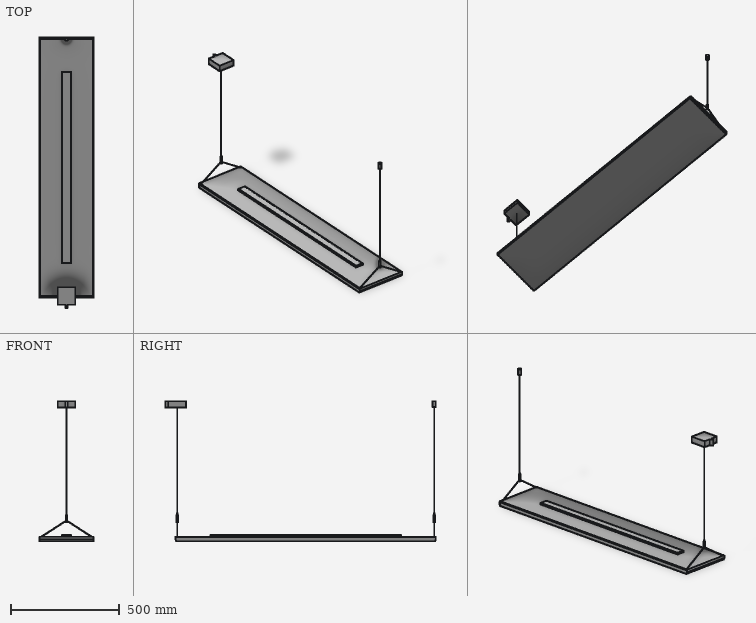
import cadquery as cq
import math

total_length = 1248.0
total_height = 646.0

panel_width = 250.0
panel_length = 1200.0
panel_height = 22.0
panel_back = total_length / 2
panel_front = panel_back - panel_length
panel_middle = (panel_back + panel_front) / 2
end_bevel_height = 9.0
end_bevel_depth = 4.0
side_bevel = 4.0

strip_width = 42.0
strip_length = 881.0
strip_height = 7.0
strip_bevel = 2.0

cap_diameter = 16.0
cap_height = 29.0
cap_chamfer = 2.0

wire_diameter = 1.2
front_inset = 9.0
suspension_back = panel_back - cap_diameter / 2
suspension_front = panel_front + front_inset
clip_diameter = 9.0
clip_bottom = 89.0
clip_height = 32.0
clip_top = clip_bottom + clip_height
clip_tip_diameter = 4.0
clip_tip_height = 7.0
bridle_half_span = 116.0
bridle_top = 96.0
wire_embed = 1.0

canopy_side = 82.0
canopy_height = 30.0
canopy_bottom = total_height - canopy_height
canopy_front = suspension_front - canopy_side / 2
tab_width = 11.0
tab_front = -total_length / 2


def upright_cylinder(diameter, y, bottom, height):
    return cq.Workplane("XY", origin=(0, y, bottom)).circle(diameter / 2).extrude(height)


def make_panel():
    """Panel with bevelled upper long edges and undercut short ends."""
    half_width = panel_width / 2
    body = (
        cq.Workplane("YZ", origin=(-half_width, 0, 0))
        .moveTo(panel_front + end_bevel_depth, 0)
        .lineTo(panel_back - end_bevel_depth, 0)
        .lineTo(panel_back, end_bevel_height)
        .lineTo(panel_back, panel_height)
        .lineTo(panel_front, panel_height)
        .lineTo(panel_front, end_bevel_height)
        .close()
        .extrude(panel_width)
    )
    return body.faces(">Z").edges("|Y").chamfer(side_bevel)


def make_strip():
    strip = cq.Workplane("XY", origin=(0, panel_middle, panel_height)).rect(
        strip_width, strip_length
    ).extrude(strip_height)
    return strip.faces(">Z").chamfer(strip_bevel)


def make_bridle_wire(y, side):
    """Slanted wire from the clip to one side of the panel."""
    foot_z = panel_height - wire_embed
    run = side * bridle_half_span
    drop = foot_z - bridle_top
    direction = cq.Vector(run, 0, drop)
    wire = cq.Solid.makeCylinder(
        wire_diameter / 2, math.hypot(run, drop), cq.Vector(0, y, bridle_top), direction
    )
    return cq.Workplane(wire)


def make_suspension(y, cord_top):
    """Clip with its tip, vertical cord and the two bridle wires."""
    clip = upright_cylinder(clip_diameter, y, clip_bottom, clip_height)
    tip = upright_cylinder(clip_tip_diameter, y, clip_top, clip_tip_height)
    cord = upright_cylinder(wire_diameter, y, clip_top, cord_top - clip_top)
    suspension = clip.union(tip).union(cord)
    for side in (-1, 1):
        suspension = suspension.union(make_bridle_wire(y, side))
    return suspension


def make_cap():
    cap = upright_cylinder(cap_diameter, suspension_back, total_height - cap_height, cap_height)
    return cap.faces("<Z").chamfer(cap_chamfer)


def make_canopy():
    """Square box with a full-height tab on its front face."""
    nose_radius = tab_width / 2
    nose_start = tab_front + nose_radius
    box = cq.Workplane("XY", origin=(0, suspension_front, canopy_bottom)).rect(
        canopy_side, canopy_side
    ).extrude(canopy_height)
    tab = (
        cq.Workplane("XY", origin=(0, 0, canopy_bottom))
        .moveTo(nose_radius, canopy_front)
        .lineTo(nose_radius, nose_start)
        .threePointArc((0, tab_front), (-nose_radius, nose_start))
        .lineTo(-nose_radius, canopy_front)
        .close()
        .extrude(canopy_height)
    )
    return box.union(tab)


result = (
    make_panel()
    .union(make_strip())
    .union(make_suspension(suspension_back, total_height - cap_height))
    .union(make_suspension(suspension_front, canopy_bottom))
    .union(make_cap())
    .union(make_canopy())
)